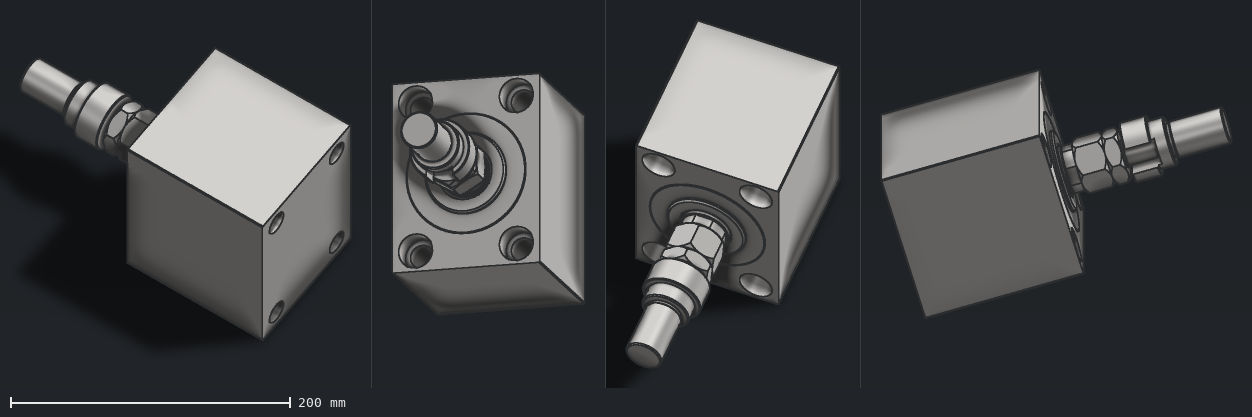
import cadquery as cq
import math

total_length = 241.5
block_length = 118.0
block_width = 110.0
block_height = 140.0
block_edge_chamfer = 0.7

hole_diameter = 17.6
counterbore_diameter = 25.0
counterbore_depth = 18.0
hole_spacing_y = 74.9
hole_spacing_z = 109.6

gland_diameter = 88.9
gland_depth = 24.2
gland_chamfer = 0.7
lip_diameter = 60.1
lip_height = 3.0
lip_chamfer = 1.5
recess_diameter = 40.0
recess_depth = 2.0

rod_diameter = 36.0
rod_chamfer = 0.7
wrench_end_diameter = 35.3
wrench_flat_spacing = 32.5
wrench_end_length = 8.0

hex_across_flats = 36.0
long_hex_length = 22.2
short_hex_length = 11.5
hex_chamfer_depth = 3.0
neck_diameter = 18.0
neck_flare = 1.2
neck_gap = 3.0

shank_diameter = 27.0
shank_end = 39.5
shank_chamfer = 1.0
undercut_diameter = 25.0
flange_start = 41.8
flange_diameter = 36.0
flange_chamfer = 1.0
collar_start = 53.9
collar_end = 73.7
collar_diameter = 44.5
collar_chamfer = 0.7
slot_start = 51.2
slot_width = 19.8

block_front = total_length - block_length
short_hex_start = collar_end + neck_gap
long_hex_start = short_hex_start + short_hex_length
rod_start = long_hex_start + long_hex_length
gland_back = block_front + gland_depth
lip_front = block_front - lip_height


def cylinder(diameter, start, end):
    """A cylinder around the X axis between two X positions."""
    return cq.Workplane("YZ").workplane(offset=start).circle(diameter / 2).extrude(end - start)


def make_block():
    block = (
        cq.Workplane("XY")
        .box(block_length, block_width, block_height)
        .translate((block_front + block_length / 2, 0, 0))
        .edges("|X")
        .chamfer(block_edge_chamfer)
    )
    hole_centers = (
        cq.Workplane("YZ")
        .workplane(offset=block_front)
        .rect(hole_spacing_y, hole_spacing_z, forConstruction=True)
        .vertices()
    )
    block = block.cut(hole_centers.circle(hole_diameter / 2).extrude(block_length))
    block = block.cut(hole_centers.circle(counterbore_diameter / 2).extrude(counterbore_depth))
    seat = cylinder(gland_diameter, block_front, gland_back)
    return block.cut(seat)


def make_gland():
    disc = cylinder(gland_diameter, block_front, gland_back).faces("<X").chamfer(gland_chamfer)
    lip = cylinder(lip_diameter, lip_front, block_front).faces("<X").chamfer(lip_chamfer)
    bore = cylinder(rod_diameter, lip_front, gland_back)
    recess = cylinder(recess_diameter, lip_front, lip_front + recess_depth)
    return disc.union(lip).cut(bore).cut(recess)


def make_rod():
    shoulder = rod_start + wrench_end_length
    shaft = cylinder(rod_diameter, shoulder, gland_back).faces("<X").chamfer(rod_chamfer)
    square = (
        cq.Workplane("YZ")
        .workplane(offset=rod_start)
        .rect(wrench_flat_spacing, wrench_flat_spacing)
        .extrude(wrench_end_length)
    )
    wrench_end = cylinder(wrench_end_diameter, rod_start, shoulder).intersect(square)
    return shaft.union(wrench_end)


def make_hexagon(start, length):
    """A hexagon with corners at the top and bottom, bevelled at both ends."""
    across_corners = hex_across_flats / math.cos(math.pi / 6)
    prism = (
        cq.Workplane("YZ")
        .workplane(offset=start)
        .transformed(rotate=(0, 0, 90))
        .polygon(6, across_corners)
        .extrude(length)
    )
    bevel = (across_corners - hex_across_flats) / 2
    envelope = cylinder(across_corners, start, start + length)
    envelope = envelope.faces("<X or >X").chamfer(hex_chamfer_depth, bevel)
    return prism.intersect(envelope)


def make_stud():
    neck = cylinder(neck_diameter, slot_start, short_hex_start)
    neck_radius = neck_diameter / 2
    flare = cq.Solid.makeCone(
        neck_radius,
        neck_radius + neck_flare,
        neck_flare,
        pnt=cq.Vector(short_hex_start - neck_flare, 0, 0),
        dir=cq.Vector(1, 0, 0),
    )
    short_hex = make_hexagon(short_hex_start, short_hex_length)
    long_hex = make_hexagon(long_hex_start, long_hex_length)
    return neck.union(flare).union(short_hex).union(long_hex)


def make_coupling():
    shank = cylinder(shank_diameter, 0, shank_end).faces("<X or >X").chamfer(shank_chamfer)
    undercut = cylinder(undercut_diameter, shank_end, flange_start)
    flange = cylinder(flange_diameter, flange_start, collar_start).faces("<X").chamfer(flange_chamfer)
    collar = cylinder(collar_diameter, collar_start, collar_end)
    collar = collar.faces("<X or >X").chamfer(collar_chamfer)
    body = shank.union(undercut).union(flange).union(collar)

    slot_length = collar_end - slot_start
    slot = cylinder(slot_width, slot_start, collar_end).union(
        cq.Workplane("XY")
        .box(slot_length, slot_width, collar_diameter / 2, centered=(False, True, False))
        .translate((slot_start, 0, -collar_diameter / 2))
    )
    return body.cut(slot)


block = make_block()
gland = make_gland()
rod = make_rod()
stud = make_stud()
coupling = make_coupling()

result = cq.Compound.makeCompound([block.val(), gland.val(), rod.val(), stud.val(), coupling.val()])